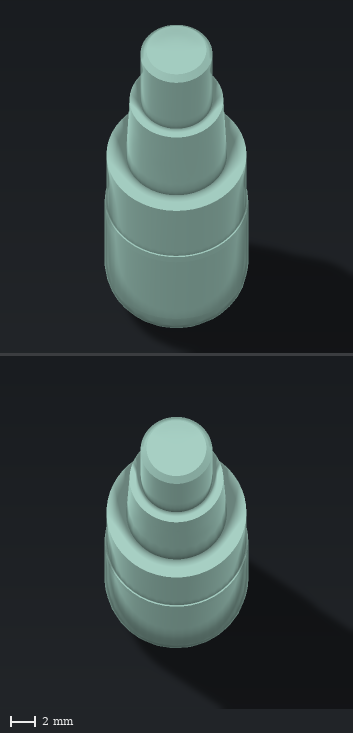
import cadquery as cq

CAP_RADIUS = 6.0
CAP_RIM_RADIUS = 5.95
CAP_BOTTOM_ROUND = 4.0
CAP_STRAIGHT_TOP = 12.0
CAP_TOP = 12.67

COLLAR_RADIUS = 5.83
COLLAR_TOP = 19.0
CONE_BASE_RADIUS = 4.2
CONE_TOP_RADIUS = 3.9
CONE_TOP = 26.72
PIN_RADIUS = 3.0
PIN_CHAMFER = 0.5
TOTAL_HEIGHT = 33.7


def make_cap():
    """Straight cylinder with a rounded bottom edge and a tapered rim."""
    straight = (
        cq.Workplane("XY")
        .circle(CAP_RADIUS)
        .extrude(CAP_STRAIGHT_TOP)
        .faces("<Z")
        .edges()
        .fillet(CAP_BOTTOM_ROUND)
    )
    rim = make_frustum(CAP_RADIUS, CAP_RIM_RADIUS, CAP_STRAIGHT_TOP, CAP_TOP)
    return straight.union(rim)


def make_stem():
    """Collar, tapered shoulder and chamfered pin stacked on the cap."""
    collar = make_frustum(COLLAR_RADIUS, COLLAR_RADIUS, CAP_TOP, COLLAR_TOP)
    shoulder = make_frustum(CONE_BASE_RADIUS, CONE_TOP_RADIUS, COLLAR_TOP, CONE_TOP)
    pin = make_frustum(PIN_RADIUS, PIN_RADIUS, CONE_TOP, TOTAL_HEIGHT)
    pin = pin.faces(">Z").chamfer(PIN_CHAMFER)
    return collar.union(shoulder).union(pin)


def make_frustum(bottom_radius, top_radius, bottom_z, top_z):
    """Solid of revolution about Z with a straight side between two heights."""
    return (
        cq.Workplane("XZ")
        .moveTo(0, bottom_z)
        .lineTo(bottom_radius, bottom_z)
        .lineTo(top_radius, top_z)
        .lineTo(0, top_z)
        .close()
        .revolve(360, (0, 0, 0), (0, 1, 0))
    )


cap = make_cap()
stem = make_stem()
result = cq.Compound.makeCompound([cap.val(), stem.val()])